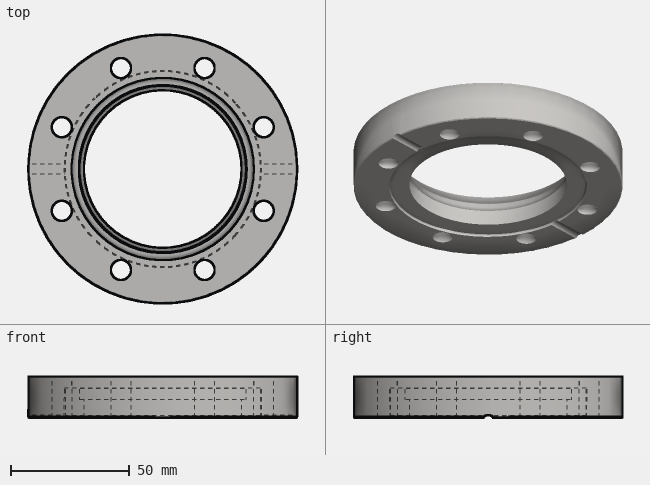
import cadquery as cq

RING_DIAMETER = 113.5
RING_HEIGHT = 17.5
RING_OPENING_DIAMETER = 77.0
RING_RECESS_DIAMETER = 83.2
RING_EDGE_RADIUS = 0.5

BOLT_COUNT = 8
BOLT_HOLE_DIAMETER = 8.4
BOLT_CIRCLE_DIAMETER = 92.2
BOLT_START_ANGLE = 180.0 / BOLT_COUNT

GROOVE_WIDTH = 4.2
GROOVE_DEPTH = 1.1

INSERT_DIAMETER = 82.4
INSERT_BORE_DIAMETER = 66.4
INSERT_SOCKET_DIAMETER = 70.3
INSERT_SOCKET_DEPTH = 4.9
INSERT_SOCKET_CHAMFER = 0.3
INSERT_BOTTOM = 1.0
SHOULDER_DEPTH = 4.9
SHOULDER_Z = RING_HEIGHT - SHOULDER_DEPTH


def cylinder(diameter, bottom, top):
    """Vertical cylinder on the Z axis between two heights."""
    return cq.Workplane("XY").workplane(offset=bottom).circle(diameter / 2).extrude(top - bottom)


def make_groove_cutter():
    """Round bar along X whose upper arc cuts the groove into the underside."""
    half_width = GROOVE_WIDTH / 2
    radius = (half_width**2 + GROOVE_DEPTH**2) / (2 * GROOVE_DEPTH)
    return (
        cq.Workplane("YZ")
        .center(0, GROOVE_DEPTH - radius)
        .circle(radius)
        .extrude(RING_DIAMETER / 2, both=True)
    )


def make_ring():
    """Bolted ring with a stepped opening that holds the insert."""
    ring = cylinder(RING_DIAMETER, 0, RING_HEIGHT).edges("%CIRCLE").fillet(RING_EDGE_RADIUS)
    ring = ring.cut(cylinder(RING_OPENING_DIAMETER, 0, RING_HEIGHT))
    ring = ring.cut(cylinder(RING_RECESS_DIAMETER, 0, SHOULDER_Z))
    bolt_holes = (
        cq.Workplane("XY")
        .polarArray(BOLT_CIRCLE_DIAMETER / 2, BOLT_START_ANGLE, 360, BOLT_COUNT)
        .circle(BOLT_HOLE_DIAMETER / 2)
        .extrude(RING_HEIGHT)
    )
    return ring.cut(bolt_holes).cut(make_groove_cutter())


def make_insert():
    """Flat insert with a through bore and a wider, chamfered socket at the top."""
    socket_floor = SHOULDER_Z - INSERT_SOCKET_DEPTH
    insert = cylinder(INSERT_DIAMETER, INSERT_BOTTOM, SHOULDER_Z)
    insert = insert.cut(cylinder(INSERT_BORE_DIAMETER, INSERT_BOTTOM, SHOULDER_Z))
    insert = insert.cut(cylinder(INSERT_SOCKET_DIAMETER, socket_floor, SHOULDER_Z))
    socket_rim = insert.faces(">Z").edges(cq.selectors.RadiusNthSelector(0))
    return socket_rim.chamfer(INSERT_SOCKET_CHAMFER)


ring = make_ring()
insert = make_insert()

result = cq.Compound.makeCompound([ring.val(), insert.val()])